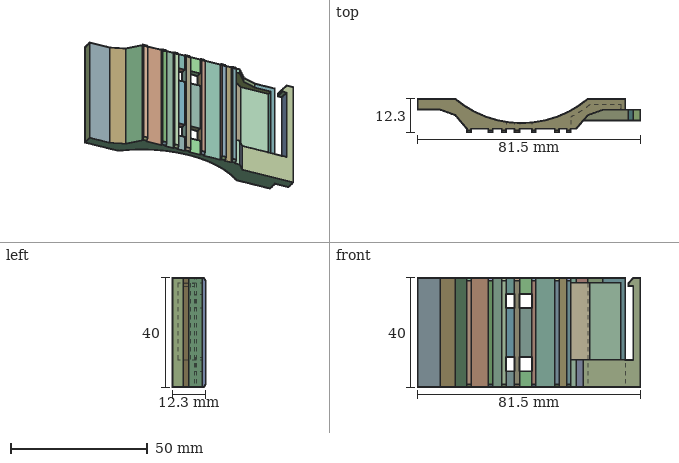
import cadquery as cq

body_length = 76.0
total_length = 81.5
height = 40.0
center_x = body_length / 2

flange_thickness = 4.0
flange_run = 8.2
knee_x = 13.75
knee_depth = 6.0
plate_x = 18.0
plate_depth = 11.0
arc_depth = 8.85
arc_half_chord = center_x - knee_x
arc_radius = (arc_half_chord**2 + arc_depth**2) / (2 * arc_depth)
arc_center_y = arc_radius - arc_depth

rib_spans = [
    (plate_x, 19.6),
    (25.8, 27.5),
    (30.75, 32.4),
    (35.4, 37.3),
    (41.75, 43.2),
    (50.1, 51.8),
    (54.5, 56.0),
]
rib_height = 1.25
rib_chamfer_depth = 0.75
rib_chamfer_length = 1.0

window_spans = [
    (rib_spans[2][1], rib_spans[3][0]),
    (rib_spans[3][1], rib_spans[4][0]),
]
window_height = 5.1
window_end_offset = 5.9

arm_base_height = 10.0
arm_thickness = 4.0
arm_width = 2.7
hook_reach = 1.7
hook_length = 3.0
hook_tip_length = 1.0

pocket_left = rib_spans[-1][1]
pocket_rim = 1.7
pocket_wall = 2.0


def box(x0, x1, y0, y1, z0, z1):
    """Axis-aligned block between opposite corners."""
    return cq.Workplane("XY").box(x1 - x0, y1 - y0, z1 - z0, centered=False).translate((x0, y0, z0))


def make_body():
    """Symmetric bent plate with an arc hollow in its back."""
    return (
        cq.Workplane("XY")
        .moveTo(0, 0)
        .lineTo(knee_x, 0)
        .threePointArc((center_x, -arc_depth), (body_length - knee_x, 0))
        .lineTo(body_length, 0)
        .lineTo(body_length, -flange_thickness)
        .lineTo(body_length - flange_run, -flange_thickness)
        .lineTo(body_length - knee_x, -knee_depth)
        .lineTo(body_length - plate_x, -plate_depth)
        .lineTo(plate_x, -plate_depth)
        .lineTo(knee_x, -knee_depth)
        .lineTo(flange_run, -flange_thickness)
        .lineTo(0, -flange_thickness)
        .close()
        .extrude(height)
    )


def make_pocket():
    """Pocket whose floor follows the back arc and the back face at a constant wall."""
    block = box(
        pocket_left, body_length - pocket_rim,
        -plate_depth, -pocket_wall,
        arm_base_height, height - pocket_rim,
    )
    arc_wall = (
        cq.Workplane("XY")
        .center(center_x, arc_center_y)
        .circle(arc_radius + pocket_wall)
        .extrude(height)
    )
    return block.cut(arc_wall)


def make_rib(start, end):
    """Full-height rib sloped back at both of its ends."""
    front = -plate_depth - rib_height
    shoulder = front + rib_chamfer_depth
    return (
        cq.Workplane("YZ", origin=(start, 0, 0))
        .moveTo(-plate_depth, 0)
        .lineTo(shoulder, 0)
        .lineTo(front, rib_chamfer_length)
        .lineTo(front, height - rib_chamfer_length)
        .lineTo(shoulder, height)
        .lineTo(-plate_depth, height)
        .close()
        .extrude(end - start)
    )


def make_windows():
    """Pairs of through windows either side of the middle rib, mirrored about mid-height."""
    lower_z = window_end_offset
    upper_z = height - window_end_offset - window_height
    windows = cq.Workplane("XY")
    for left, right in window_spans:
        for bottom in (lower_z, upper_z):
            window = box(left, right, -plate_depth, 0, bottom, bottom + window_height)
            windows = windows.add(window)
    return windows.combine()


def make_arm():
    """L-shaped arm in front of the flange, ending in a sloped hook."""
    inner_x = total_length - arm_width
    hook_x = inner_x - hook_reach
    hook_z = height - hook_length
    base_x = body_length - plate_x
    return (
        cq.Workplane("XZ", origin=(0, -flange_thickness, 0))
        .moveTo(base_x, 0)
        .lineTo(total_length, 0)
        .lineTo(total_length, height)
        .lineTo(inner_x, height)
        .lineTo(hook_x, hook_z + hook_tip_length)
        .lineTo(hook_x, hook_z)
        .lineTo(inner_x, hook_z)
        .lineTo(inner_x, arm_base_height)
        .lineTo(base_x, arm_base_height)
        .close()
        .extrude(arm_thickness)
    )


result = make_body().cut(make_windows()).cut(make_pocket()).union(make_arm())
for rib_start, rib_end in rib_spans:
    result = result.union(make_rib(rib_start, rib_end))